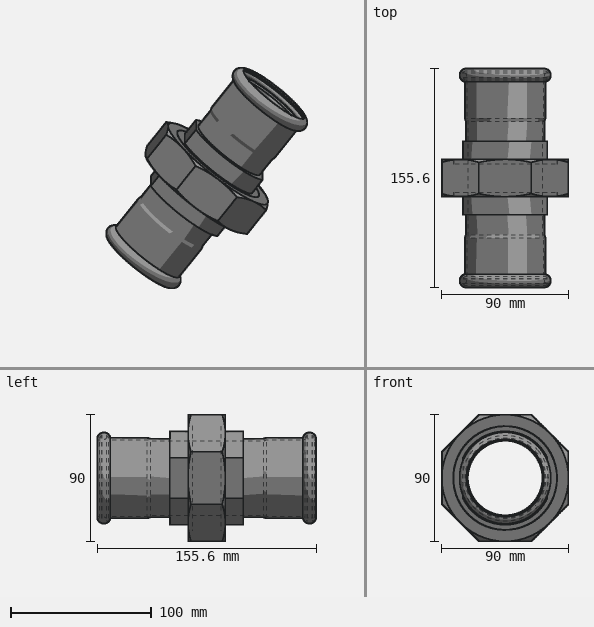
import cadquery as cq
import math

half_length = 77.8

nut_sides = 8
nut_across_flats = 90.0
nut_half_width = 13.2
nut_chamfer_angle = 30
envelope_margin = 1.5
nut_bore_diameter = 74.0
clearance_depth = 3.1

ring_diameter = 73.5
collar_diameter = 66.5
collar_across_flats = 60.0
collar_end = 26.2

neck_diameter = 56
neck_bore_diameter = 53
socket_diameter = 57.5
socket_bore_diameter = 54.5
neck_end = 40.2
socket_start = 42.5

rim_diameter = 65.0
rim_radius = 4.8
rim_wall = 1.5
mouth_diameter = 54.7
seal_inner_diameter = 55.3
seal_section_radius = 1.9

rim_center_y = half_length - rim_radius
rim_center_r = rim_diameter / 2 - rim_radius
groove_radius = rim_radius - rim_wall


def axial_cylinder(diameter, start, end):
    """Solid cylinder on the Y axis from start to end."""
    return cq.Workplane("XZ", origin=(0, start, 0)).circle(diameter / 2).extrude(start - end)


def make_nut():
    """Octagonal prism whose corners are turned down by a cone at each face."""
    across_corners = nut_across_flats / math.cos(math.pi / nut_sides)
    nut = (
        cq.Workplane("XZ")
        .polygon(nut_sides, across_corners)
        .extrude(nut_half_width, both=True)
        .rotate((0, 0, 0), (0, 1, 0), 180 / nut_sides)
    )
    face_radius = nut_across_flats / 2
    corner_radius = across_corners / 2 + envelope_margin
    drop = (corner_radius - face_radius) * math.tan(math.radians(nut_chamfer_angle))
    envelope = (
        cq.Workplane("XY")
        .moveTo(0, -nut_half_width)
        .lineTo(face_radius, -nut_half_width)
        .lineTo(corner_radius, drop - nut_half_width)
        .lineTo(corner_radius, nut_half_width - drop)
        .lineTo(face_radius, nut_half_width)
        .lineTo(0, nut_half_width)
        .close()
        .revolve(360, (0, 0, 0), (0, 1, 0))
    )
    return nut.intersect(envelope)


def make_clearance():
    """Narrow gap between the nut bore and the ring, open at the +Y nut face."""
    start = nut_half_width - clearance_depth
    outer = axial_cylinder(nut_bore_diameter, start, nut_half_width)
    return outer.cut(axial_cylinder(ring_diameter, start, nut_half_width))


def make_collar():
    """Round collar on the +Y side with a wrench flat on each X side."""
    slab = cq.Workplane("XY").box(collar_across_flats, 2 * collar_end, collar_diameter)
    return axial_cylinder(collar_diameter, 0, collar_end).intersect(slab)


def make_socket():
    """Outer body of the +Y tube, stepping up to the socket and ending in the rolled rim."""
    neck_r = neck_diameter / 2
    socket_r = socket_diameter / 2
    rim_root = math.sqrt(rim_radius**2 - (socket_r - rim_center_r) ** 2)
    return (
        cq.Workplane("XY")
        .lineTo(neck_r, 0)
        .lineTo(neck_r, neck_end)
        .lineTo(socket_r, socket_start)
        .lineTo(socket_r, rim_center_y - rim_root)
        .threePointArc((rim_diameter / 2, rim_center_y), (rim_center_r, half_length))
        .lineTo(0, half_length)
        .close()
        .revolve(360, (0, 0, 0), (0, 1, 0))
    )


def make_bore():
    """Inside of the +Y tube: neck bore, socket bore, seal groove and mouth."""
    neck_r = neck_bore_diameter / 2
    socket_r = socket_bore_diameter / 2
    mouth_r = mouth_diameter / 2
    groove_start = rim_center_y - groove_radius
    groove_end = rim_center_y + groove_radius
    return (
        cq.Workplane("XY")
        .lineTo(neck_r, 0)
        .lineTo(neck_r, neck_end)
        .lineTo(socket_r, socket_start)
        .lineTo(socket_r, rim_center_y - rim_radius)
        .lineTo(rim_center_r, groove_start)
        .threePointArc((rim_center_r + groove_radius, rim_center_y), (rim_center_r, groove_end))
        .lineTo(mouth_r, groove_end)
        .lineTo(mouth_r, half_length)
        .lineTo(0, half_length)
        .close()
        .revolve(360, (0, 0, 0), (0, 1, 0))
    )


def make_seal():
    """Round-section seal seated in the +Y groove, overlapping its outer wall."""
    section_center_r = seal_inner_diameter / 2 + seal_section_radius
    return (
        cq.Workplane("XY")
        .moveTo(section_center_r, rim_center_y)
        .circle(seal_section_radius)
        .revolve(360, (0, 0, 0), (0, 1, 0))
    )


def both_ends(solid):
    """The +Y solid together with its mirror image on the -Y side."""
    return solid.union(solid.mirror("XZ"))


outside = make_nut().union(both_ends(make_collar())).union(both_ends(make_socket()))
hollow = outside.cut(both_ends(make_bore()))
for clearance in (make_clearance(), make_clearance().mirror("XZ")):
    hollow = hollow.cut(clearance)
result = hollow.union(make_seal()).union(make_seal().mirror("XZ"))